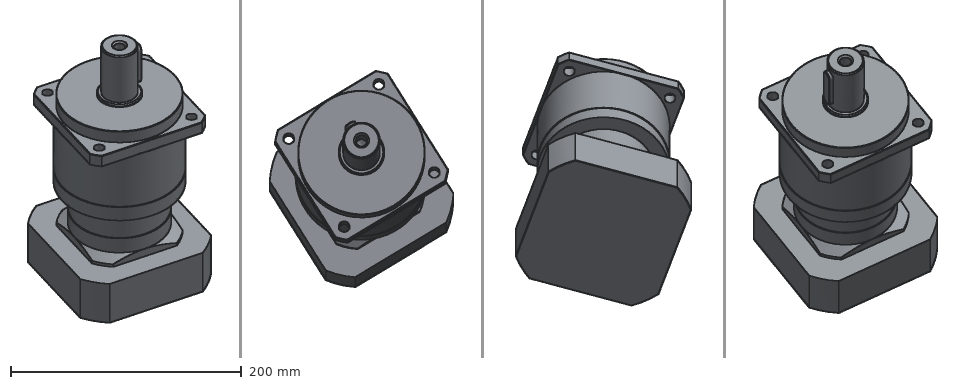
import cadquery as cq
import math

EDGE_BREAK = 0.5

BASE_SIDE = 130.0
BASE_CORNER_RADIUS = 80.0
BASE_TOP = 42.5

TRANSITION_CORNER_RADIUS = 55.0
CONE_BOTTOM = 45.5
CONE_TOP = 50.7

NECK_DIAMETER = 90.0
NECK_TOP = 94.6
DRUM_DIAMETER = 115.0

NECK_GROOVE_LEVEL = 66.5
DRUM_GROOVE_LEVEL = 109.4
GROOVE_WIDTH = 0.7
GROOVE_DEPTH = 0.5

FLANGE_BOTTOM = 165.4
FLANGE_THICKNESS = 11.8
FLANGE_CORNER_RADIUS = 76.0
PILOT_DIAMETER = 110.0
PILOT_HEIGHT = 12.0
MOUNT_HOLE_DIAMETER = 9.5
MOUNT_HOLE_SPACING = 91.7

SHOULDER_DIAMETER = 39.8
SHOULDER_HEIGHT = 2.2
SHOULDER_CHAMFER = 1.2
SHAFT_DIAMETER = 32.0
SHAFT_TOP = 241.5
SHAFT_CHAMFER = 1.2
CENTRE_HOLE_DIAMETER = 10.0
CENTRE_HOLE_DEPTH = 19.3
CENTRE_HOLE_CHAMFER = 1.7
DRILL_POINT_ANGLE = 120.0

KEY_WIDTH = 10.0
KEY_BOTTOM = 196.3
KEY_TOP = 236.3
KEY_FLOOR = 11.5
KEY_HEIGHT = 8.0
KEY_CHAMFER = 0.7

FLANGE_TOP = FLANGE_BOTTOM + FLANGE_THICKNESS
PILOT_TOP = FLANGE_TOP + PILOT_HEIGHT
SHOULDER_TOP = PILOT_TOP + SHOULDER_HEIGHT


def disc(diameter, bottom, top):
    """Cylinder on the Z axis between two levels."""
    return cq.Workplane("XY").workplane(offset=bottom).circle(diameter / 2).extrude(top - bottom)


def square_block(side, bottom, top):
    """Square block centred on the Z axis between two levels."""
    return cq.Workplane("XY").workplane(offset=bottom).rect(side, side).extrude(top - bottom)


def turned_square(side, corner_radius, bottom, top):
    """Square block whose corners are turned to a radius about the Z axis."""
    return square_block(side, bottom, top).intersect(disc(2 * corner_radius, bottom, top))


def make_base():
    block = turned_square(BASE_SIDE, BASE_CORNER_RADIUS, 0, BASE_TOP)
    return block.faces("<Z").edges().chamfer(EDGE_BREAK)


def make_transition():
    turned = (
        cq.Workplane("XZ")
        .moveTo(0, BASE_TOP)
        .lineTo(TRANSITION_CORNER_RADIUS, BASE_TOP)
        .lineTo(TRANSITION_CORNER_RADIUS, CONE_BOTTOM)
        .lineTo(NECK_DIAMETER / 2, CONE_TOP)
        .lineTo(0, CONE_TOP)
        .close()
        .revolve(360, (0, 0, 0), (0, 1, 0))
    )
    return turned.intersect(square_block(NECK_DIAMETER, BASE_TOP, CONE_TOP))


def make_groove(diameter, level):
    """Ring with a V section, as a cutting tool for a round body."""
    radius = diameter / 2
    return (
        cq.Workplane("XZ")
        .moveTo(radius, level - GROOVE_WIDTH / 2)
        .lineTo(radius - GROOVE_DEPTH, level)
        .lineTo(radius, level + GROOVE_WIDTH / 2)
        .close()
        .revolve(360, (0, 0, 0), (0, 1, 0))
    )


def make_neck():
    return disc(NECK_DIAMETER, CONE_TOP, NECK_TOP).cut(make_groove(NECK_DIAMETER, NECK_GROOVE_LEVEL))


def make_drum():
    return disc(DRUM_DIAMETER, NECK_TOP, FLANGE_BOTTOM).cut(make_groove(DRUM_DIAMETER, DRUM_GROOVE_LEVEL))


def make_flange():
    plate = turned_square(DRUM_DIAMETER, FLANGE_CORNER_RADIUS, FLANGE_BOTTOM, FLANGE_TOP)
    plate = plate.faces("<Z or >Z").edges().chamfer(EDGE_BREAK)
    return (
        plate.faces(">Z")
        .workplane()
        .rect(MOUNT_HOLE_SPACING, MOUNT_HOLE_SPACING, forConstruction=True)
        .vertices()
        .hole(MOUNT_HOLE_DIAMETER)
    )


def make_pilot():
    return disc(PILOT_DIAMETER, FLANGE_TOP, PILOT_TOP).faces(">Z").edges().chamfer(EDGE_BREAK)


def make_housing():
    return (
        make_base()
        .union(make_transition())
        .union(make_neck())
        .union(make_drum())
        .union(make_flange())
        .union(make_pilot())
    )


def make_centre_hole():
    """Drilled hole with a conical bottom and a chamfered mouth, as a cutting tool."""
    radius = CENTRE_HOLE_DIAMETER / 2
    floor = SHAFT_TOP - CENTRE_HOLE_DEPTH
    point_depth = radius / math.tan(math.radians(DRILL_POINT_ANGLE / 2))
    return (
        cq.Workplane("XZ")
        .moveTo(0, floor - point_depth)
        .lineTo(radius, floor)
        .lineTo(radius, SHAFT_TOP - CENTRE_HOLE_CHAMFER)
        .lineTo(radius + CENTRE_HOLE_CHAMFER, SHAFT_TOP)
        .lineTo(0, SHAFT_TOP)
        .close()
        .revolve(360, (0, 0, 0), (0, 1, 0))
    )


def make_key():
    """Key with fully rounded ends, lying along the shaft."""
    length = KEY_TOP - KEY_BOTTOM
    middle = (KEY_TOP + KEY_BOTTOM) / 2
    blank = (
        cq.Workplane("XZ", origin=(0, KEY_FLOOR, middle))
        .slot2D(length, KEY_WIDTH, 90)
        .extrude(-KEY_HEIGHT)
    )
    return blank.faces(">Y").edges().chamfer(KEY_CHAMFER)


def make_shaft(key):
    shoulder = disc(SHOULDER_DIAMETER, PILOT_TOP, SHOULDER_TOP)
    shoulder = shoulder.faces(">Z").edges().chamfer(SHOULDER_CHAMFER)
    bar = disc(SHAFT_DIAMETER, SHOULDER_TOP, SHAFT_TOP)
    bar = bar.faces(">Z").edges().chamfer(SHAFT_CHAMFER)
    return shoulder.union(bar).cut(make_centre_hole()).cut(key)


housing = make_housing()
key = make_key()
shaft = make_shaft(key)

result = cq.Compound.makeCompound([housing.val(), shaft.val(), key.val()])